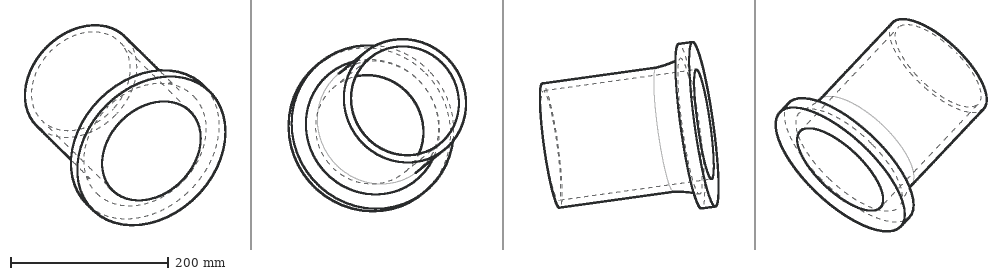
import cadquery as cq

total_length = 198.0
flange_diameter = 212.0
flange_thickness = 18.0
pipe_diameter = 160.0
bore_diameter = 141.0

neck_length = 32.5
neck_end_diameter = 175.0
neck_radius = 116.5

pipe_radius = pipe_diameter / 2
neck_end_radius = neck_end_diameter / 2
bore_radius = bore_diameter / 2
flange_radius = flange_diameter / 2
flange_start = total_length - flange_thickness
neck_start = flange_start - neck_length

half_section = (
    cq.Workplane("XY")
    .moveTo(0, bore_radius)
    .lineTo(0, pipe_radius)
    .lineTo(neck_start, pipe_radius)
    .radiusArc((flange_start, neck_end_radius), -neck_radius)
    .lineTo(flange_start, flange_radius)
    .lineTo(total_length, flange_radius)
    .lineTo(total_length, bore_radius)
    .close()
)

result = half_section.revolve(360, (0, 0, 0), (1, 0, 0))